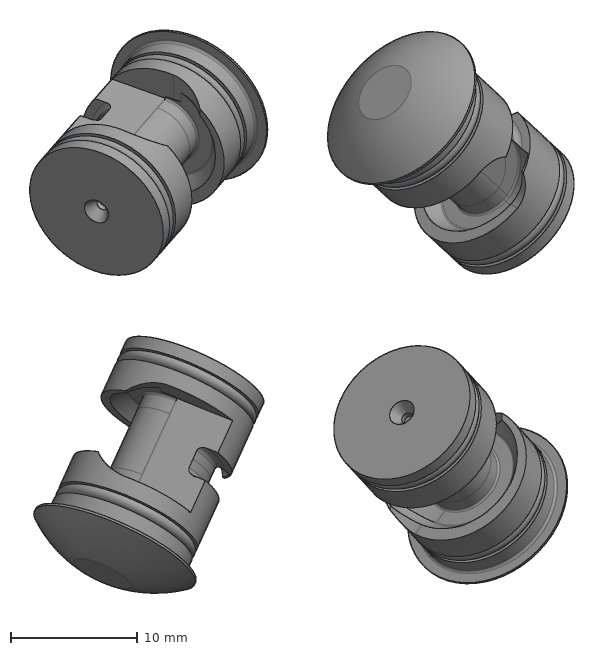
import cadquery as cq
import math


spool_radius = 12.0 / 2
flange_radius = 14.0 / 2
flange_face_y = 15.67
flange_thickness = 0.2
overall_length = 18.2
dome_flat_radius = 2.5
dome_radius = 10.67
neck_fillet = 0.2

seal_radius = 0.51
seal_positions = (1.58, 13.67)
groove_floor_radius = spool_radius - 2 * seal_radius

waist_y = 7.6
core_radius = 2.98
core_x = -0.11
core_z = 0.4
core_start_angle = 87.4
core_end_angle = -131.0
passage_end_angle = -129.0

port_half_width = 2.75
chamber_half_width = 4.1
chamber_radius = 5.99
chamber_fillet = 0.16

pocket_half_width = 4.15
pocket_round_x = 0.73

slot_half_width = 1.25
slot_floor_radius = 4.75
slot_fillet = 0.5

countersink_radius = 1.07
pilot_radius = 0.5
countersink_half_angle = 30.0
pilot_length = 0.5
pilot_tip_half_angle = 59.0

flat_length = 7.65

clear = 10.92

length_tolerance = 0.0002


def direction(angle):
    """Unit vector (x, z) at an angle from +X towards +Z."""
    return math.cos(math.radians(angle)), math.sin(math.radians(angle))


def waist_prism(outline, half_width):
    """Extrude an XZ outline to both sides of the waist centre."""
    return outline.extrude(half_width, both=True).translate((0, waist_y, 0))


def fillet_arcs(shape, arc_radius, fillet_radius):
    """Fillet every circular edge of one radius."""
    arcs = [
        edge
        for edge in shape.edges("%CIRCLE").vals()
        if abs(edge.radius() - arc_radius) < length_tolerance
    ]
    return shape.newObject(arcs).fillet(fillet_radius)


def make_blank():
    """Turned outline with neck fillet, flange and flat-topped dome."""
    rim_y = flange_face_y + flange_thickness
    dome_centre_y = rim_y - math.sqrt(dome_radius**2 - flange_radius**2)
    mid_radius = (flange_radius + dome_flat_radius) / 2
    mid_y = dome_centre_y + math.sqrt(dome_radius**2 - mid_radius**2)
    return (
        cq.Workplane("XY")
        .lineTo(spool_radius, 0)
        .lineTo(spool_radius, flange_face_y - neck_fillet)
        .radiusArc((spool_radius + neck_fillet, flange_face_y), neck_fillet)
        .lineTo(flange_radius, flange_face_y)
        .lineTo(flange_radius, rim_y)
        .threePointArc((mid_radius, mid_y), (dome_flat_radius, overall_length))
        .lineTo(0, overall_length)
        .close()
        .revolve(360, (0, 0, 0), (0, 1, 0))
    )


def make_seal_groove(centre_y):
    """Square groove one seal thickness wide."""
    outer = cq.Workplane("XZ").circle(flange_radius)
    ring = outer.circle(groove_floor_radius).extrude(seal_radius, both=True)
    return ring.translate((0, centre_y, 0))


def make_seal(centre_y):
    """Round seal ring seated on its groove floor."""
    seal_centre_radius = groove_floor_radius + seal_radius
    centre = cq.Vector(0, centre_y, 0)
    return cq.Solid.makeTorus(seal_centre_radius, seal_radius, centre, cq.Vector(0, 1, 0))


def make_core():
    """Rounded core with a flat running off to -X from each end of its arc."""

    def on_core(angle, along=0.0):
        out_x, out_z = direction(angle)
        x = core_x + core_radius * out_x
        z = core_z + core_radius * out_z
        return x + along * out_z, z - along * out_x

    middle_angle = (core_start_angle + core_end_angle) / 2
    outline = (
        cq.Workplane("XZ")
        .moveTo(*on_core(core_start_angle, -flat_length))
        .lineTo(*on_core(core_start_angle))
        .threePointArc(on_core(middle_angle), on_core(core_end_angle))
        .lineTo(*on_core(core_end_angle, flat_length))
        .close()
    )
    return waist_prism(outline, clear)


def make_sweep(half_width):
    """Sector from +Z round through +X to the passage end, closed by a round end."""
    end_x, end_z = direction(passage_end_angle)
    outline = (
        cq.Workplane("XZ")
        .lineTo(0, clear)
        .lineTo(clear, clear)
        .lineTo(clear, -clear)
        .lineTo(clear * end_x / abs(end_z), -clear)
        .close()
    )
    round_end = cq.Solid.makeCylinder(
        half_width, clear, cq.Vector(0, waist_y, 0), cq.Vector(end_x, 0, end_z)
    )
    return waist_prism(outline, half_width).union(cq.Workplane(round_end))


def make_chamber(core):
    """Wide passage with a spherical outer wall, filleted where it meets its flat sides and the core."""
    ball = (
        cq.Workplane("XY")
        .sphere(chamber_radius)
        .intersect(cq.Workplane("XY").box(clear * 2, 2 * chamber_half_width, clear * 2))
        .faces("<Y or >Y")
        .edges()
        .fillet(chamber_fillet)
        .translate((core_x, waist_y, core_z))
    )
    chamber = make_sweep(chamber_half_width).intersect(ball).cut(core)
    return fillet_arcs(chamber, core_radius, chamber_fillet)


def make_pocket(core):
    """Upper pocket, straight towards -X and rounded towards +X.

    Over the arc of the core it stays high enough to spare the fillets of the chamber.
    """
    core_top_z = core_z + core_radius
    low_z = core_top_z - chamber_fillet
    high_z = core_top_z + chamber_fillet
    straight = cq.Workplane("XY").box(
        clear, 2 * pocket_half_width, clear, centered=(False, True, False)
    )
    low_part = straight.translate((-clear, waist_y, low_z))
    high_part = straight.translate((pocket_round_x - clear, waist_y, high_z))
    rounded = (
        cq.Workplane("XY", origin=(pocket_round_x, waist_y, high_z))
        .circle(pocket_half_width)
        .extrude(clear)
    )
    return low_part.union(high_part).union(rounded).cut(core)


def make_slot():
    """Annular slot with rounded floor corners."""
    outer = cq.Workplane("XZ").circle(clear).extrude(slot_half_width, both=True)
    inner = cq.Workplane("XZ").circle(slot_floor_radius).extrude(slot_half_width, both=True)
    slot = outer.cut(inner)
    return fillet_arcs(slot, slot_floor_radius, slot_fillet).translate((0, waist_y, 0))


def make_centre_hole():
    """Countersink, short pilot and drill tip."""
    cone_depth = (countersink_radius - pilot_radius) / math.tan(math.radians(countersink_half_angle))
    pilot_end = cone_depth + pilot_length
    tip_y = pilot_end + pilot_radius / math.tan(math.radians(pilot_tip_half_angle))
    return (
        cq.Workplane("XY")
        .lineTo(countersink_radius, 0)
        .lineTo(pilot_radius, cone_depth)
        .lineTo(pilot_radius, pilot_end)
        .lineTo(0, tip_y)
        .close()
        .revolve(360, (0, 0, 0), (0, 1, 0))
    )


def make_spool():
    core = make_core()
    spool = make_blank()
    for centre_y in seal_positions:
        spool = spool.cut(make_seal_groove(centre_y))
    spool = spool.cut(make_pocket(core))
    spool = spool.cut(make_chamber(core))
    spool = spool.cut(make_sweep(port_half_width).cut(core))
    spool = spool.cut(make_slot())
    return spool.cut(make_centre_hole())


spool = make_spool()
seals = [make_seal(centre_y) for centre_y in seal_positions]

result = cq.Compound.makeCompound([spool.val(), *seals])